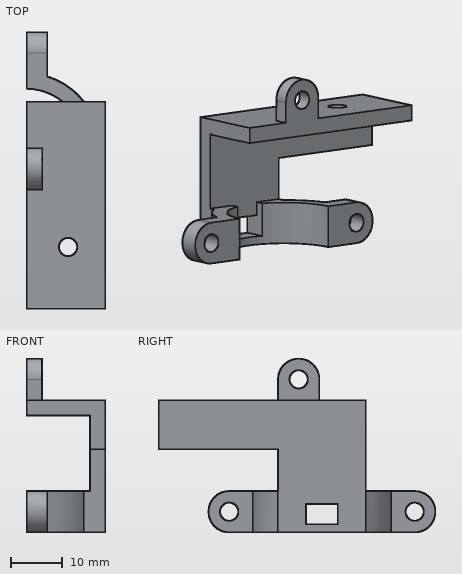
import cadquery as cq

WALL = 3.0
DEPTH = 15.25
HOLE_DIAMETER = 3.5
TAB_RADIUS = 4.0
TAB_HEIGHT = 2 * TAB_RADIUS

RING_INNER = 10.95
RING_OUTER = RING_INNER + WALL
EAR_HOLE_Y = 17.9
EAR_THICKNESS = 4.0

PLATE_TOP = 25.55
PLATE_LENGTH = 40.05
FLANGE_BOTTOM = 16.05
LEG_WIDTH = 17.0
LEG_FRONT = DEPTH - WALL
PLATE_HOLE_X = 8.0
PLATE_HOLE_Y = -19.6

NOTCH_WIDTH = 6.1
NOTCH_BOTTOM = 1.6
WINDOW_TOP = 5.45

plate_end = LEG_WIDTH / 2
plate_start = plate_end - PLATE_LENGTH
lug_y = TAB_RADIUS - LEG_WIDTH / 2
lug_z = PLATE_TOP + TAB_RADIUS


def box(x_range, y_range, z_range):
    """Box spanning the given (low, high) ranges."""
    lows, highs = zip(x_range, y_range, z_range)
    sizes = [high - low for low, high in zip(lows, highs)]
    return cq.Workplane("XY").box(*sizes, centered=False).translate(lows)


def rod(radius, y, z, length):
    """Cylinder along +X starting at X = 0."""
    return cq.Workplane("YZ").center(y, z).circle(radius).extrude(length)


def half_ring():
    ring = cq.Workplane("XY").circle(RING_OUTER).circle(RING_INNER).extrude(TAB_HEIGHT)
    return ring.intersect(box((0, RING_OUTER), (-RING_OUTER, RING_OUTER), (0, TAB_HEIGHT)))


def ear(side):
    """Ear on the +Y (side = 1) or -Y (side = -1) end of the half ring."""
    y_range = sorted((side * RING_INNER, side * EAR_HOLE_Y))
    arm = box((0, EAR_THICKNESS), y_range, (0, TAB_HEIGHT))
    arm = arm.union(rod(TAB_RADIUS, side * EAR_HOLE_Y, TAB_RADIUS, EAR_THICKNESS))
    arm = arm.cut(cq.Workplane("XY").circle(RING_INNER).extrude(TAB_HEIGHT))
    return arm.cut(rod(HOLE_DIAMETER / 2, side * EAR_HOLE_Y, TAB_RADIUS, EAR_THICKNESS))


def angle_plate():
    """Top plate with a flange hanging from its +X edge."""
    y_range = (plate_start, plate_end)
    plate = box((0, DEPTH), y_range, (PLATE_TOP - WALL, PLATE_TOP))
    hole = cq.Workplane("XY").center(PLATE_HOLE_X, PLATE_HOLE_Y).circle(HOLE_DIAMETER / 2)
    plate = plate.cut(hole.extrude(PLATE_TOP))
    return plate.union(box((LEG_FRONT, DEPTH), y_range, (FLANGE_BOTTOM, PLATE_TOP)))


def leg():
    """Leg under the flange; its foot fills the space behind the ring."""
    y_range = (-LEG_WIDTH / 2, LEG_WIDTH / 2)
    foot = box((0, DEPTH), y_range, (0, TAB_HEIGHT))
    foot = foot.cut(cq.Workplane("XY").circle(RING_INNER).extrude(TAB_HEIGHT))
    return foot.union(box((LEG_FRONT, DEPTH), y_range, (0, PLATE_TOP)))


def lug():
    """Upright lug on the -X edge of the plate."""
    y_range = (lug_y - TAB_RADIUS, lug_y + TAB_RADIUS)
    upright = box((0, WALL), y_range, (PLATE_TOP - WALL, lug_z))
    upright = upright.union(rod(TAB_RADIUS, lug_y, lug_z, WALL))
    return upright.cut(rod(HOLE_DIAMETER / 2, lug_y, lug_z, WALL))


def notch_and_window():
    """Notch open at the top of the ring, continuing as a window through the leg."""
    y_range = (-NOTCH_WIDTH / 2, NOTCH_WIDTH / 2)
    notch = box((0, LEG_FRONT), y_range, (NOTCH_BOTTOM, TAB_HEIGHT))
    return notch.union(box((0, DEPTH), y_range, (NOTCH_BOTTOM, WINDOW_TOP)))


result = half_ring().union(ear(1)).union(ear(-1))
result = result.union(leg()).union(angle_plate()).union(lug())
result = result.cut(notch_and_window())